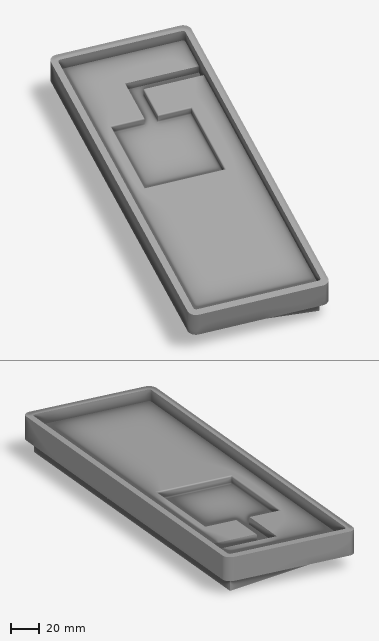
import cadquery as cq

length = 297.0
width = 105.0
total_height = 28.5
tray_height = 18.5
corner_radius = 6.2

end_wall = 6.0
side_wall = 5.0
cavity_depth = 9.0
cavity_radius = 2.0
cavity_length = length - 2 * end_wall
cavity_width = width - 2 * side_wall
cavity_floor = tray_height - cavity_depth

wedge_height = total_height - tray_height
wedge_length = length - 2 * corner_radius
wedge_half_width = width / 2 - corner_radius

recess_depth = 6.0
recess_floor = cavity_floor - recess_depth
pocket_length = 69.8
pocket_width = 59.7
pocket_west = -72.5
pocket_south = -32.5
pocket_north = pocket_south + pocket_width
edge_radius = 1.05

channel_width = 10.0
channel_west = -112.5
channel_south = -7.7
channel_north = channel_south + channel_width
channel_east = channel_west + channel_width

selection_margin = 0.15


def box_between(west, east, south, north, bottom, top):
    """Box given by its limits along X, Y and Z."""
    return cq.Workplane("XY").box(
        east - west, north - south, top - bottom, centered=False
    ).translate((west, south, bottom))


def make_tray():
    outer = cq.Workplane("XY").rect(length, width).extrude(tray_height)
    outer = outer.edges("|Z").fillet(corner_radius)
    cavity = (
        cq.Workplane("XY")
        .workplane(offset=cavity_floor)
        .rect(cavity_length, cavity_width)
        .extrude(cavity_depth)
        .edges("|Z")
        .fillet(cavity_radius)
    )
    return outer.cut(cavity)


def make_wedge():
    return (
        cq.Workplane("YZ")
        .moveTo(-wedge_half_width, 0)
        .lineTo(wedge_half_width, 0)
        .lineTo(wedge_half_width, -wedge_height)
        .close()
        .extrude(wedge_length / 2, both=True)
    )


def make_pocket():
    return box_between(
        pocket_west, pocket_west + pocket_length, pocket_south, pocket_north, recess_floor, cavity_floor
    )


def make_channel():
    to_pocket = box_between(
        channel_west, pocket_west, channel_south, channel_north, recess_floor, cavity_floor
    )
    to_back = box_between(
        channel_west, channel_east, channel_south, cavity_width / 2, recess_floor, cavity_floor
    )
    return to_pocket.union(to_back)


def round_recess_edges(body):
    """Round the rims and floor edges of the pocket and the channel's inner wall."""
    margin = selection_margin
    for level in (cavity_floor, recess_floor):
        pocket_edges = cq.selectors.BoxSelector(
            (pocket_west - margin, pocket_south - margin, level - margin),
            (pocket_west + pocket_length + margin, pocket_north + margin, level + margin),
            boundingbox=True,
        )
        channel_edge = cq.selectors.BoxSelector(
            (channel_east - margin, channel_north - margin, level - margin),
            (pocket_west + margin, channel_north + margin, level + margin),
            boundingbox=True,
        )
        body = body.edges(pocket_edges + channel_edge).fillet(edge_radius)
    return body


tray = make_tray().union(make_wedge())
recess = make_pocket().union(make_channel())
result = round_recess_edges(tray.cut(recess))